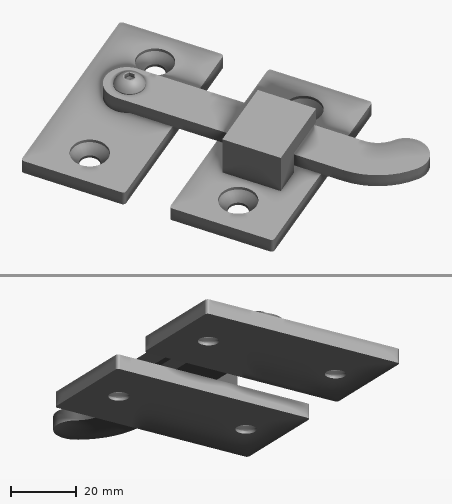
import cadquery as cq
import math

overall_length = 114.3
overall_height = 18.3

plate_width = 35.0
plate_length = 70.0
plate_thickness = 4.8
plate_corner_radius = 1.0
plate_gap = 15.0
mount_hole_spacing = 46.0
mount_hole_diameter = 6.5
countersink_diameter = 12.2
countersink_rim_depth = 1.0
countersink_cone_depth = (countersink_diameter - mount_hole_diameter) / 2

lever_width = 14.7
lever_thickness = 4.5
lever_clearance = 1.0
lever_center_y = 5.0
lever_pivot_end_x = 16.7
handle_bend_radius = 17.3
handle_bend_angle = 55.0

screw_x = plate_width / 2
screw_shank_diameter = 5.0
screw_head_diameter = 10.0
screw_head_rim_height = 0.3
screw_head_height = 3.1
screw_head_top_diameter = 4.0
socket_corner_diameter = 3.5
socket_depth = 1.5
socket_point_depth = 0.7

keeper_width = 19.7
keeper_back_y = 11.3
keeper_front_y = -13.6
keeper_leg_thickness = 9.4
keeper_roof_thickness = 5.5

lever_radius = lever_width / 2
lever_bottom = plate_thickness + lever_clearance
lever_top = lever_bottom + lever_thickness
keeper_plate_x = plate_width + plate_gap
keeper_center_x = keeper_plate_x + plate_width / 2


def cylinder(diameter, height, x, y, z):
    """Upright cylinder whose base is centred at (x, y, z)."""
    return cq.Workplane("XY", origin=(x, y, z)).circle(diameter / 2).extrude(height)


def make_plate(left_x):
    """Rounded-corner plate with two countersunk mounting holes."""
    center_x = left_x + plate_width / 2
    plate = (
        cq.Workplane("XY", origin=(center_x, 0, 0))
        .rect(plate_width, plate_length)
        .extrude(plate_thickness)
        .edges("|Z")
        .fillet(plate_corner_radius)
    )
    hole_radius = mount_hole_diameter / 2
    rim_radius = countersink_diameter / 2
    rim_bottom = plate_thickness - countersink_rim_depth
    hole_profile = [
        (0, 0),
        (hole_radius, 0),
        (hole_radius, rim_bottom - countersink_cone_depth),
        (rim_radius, rim_bottom),
        (rim_radius, plate_thickness),
        (0, plate_thickness),
    ]
    for hole_y in (-mount_hole_spacing / 2, mount_hole_spacing / 2):
        hole = (
            cq.Workplane("XZ", origin=(center_x, hole_y, 0))
            .polyline(hole_profile)
            .close()
            .revolve(360, (0, 0), (0, 1))
        )
        plate = plate.cut(hole)
    return plate


def make_lever():
    """Constant-width arm with a round pivot end, a bent handle and a boss under the pivot end."""
    bend_angle = math.radians(handle_bend_angle)
    bend_x = overall_length - lever_radius - handle_bend_radius * math.sin(bend_angle)
    bend_y = lever_center_y + handle_bend_radius

    def bend_point(radius, angle):
        return (bend_x + radius * math.sin(angle), bend_y - radius * math.cos(angle))

    outer_radius = handle_bend_radius + lever_radius
    inner_radius = handle_bend_radius - lever_radius
    tip_x, tip_y = bend_point(handle_bend_radius, bend_angle)
    tip_end = (
        tip_x + lever_radius * math.cos(bend_angle),
        tip_y + lever_radius * math.sin(bend_angle),
    )
    arm = (
        cq.Workplane("XY", origin=(0, 0, lever_bottom))
        .moveTo(lever_pivot_end_x, lever_center_y - lever_radius)
        .lineTo(*bend_point(outer_radius, 0))
        .threePointArc(bend_point(outer_radius, bend_angle / 2), bend_point(outer_radius, bend_angle))
        .threePointArc(tip_end, bend_point(inner_radius, bend_angle))
        .threePointArc(bend_point(inner_radius, bend_angle / 2), bend_point(inner_radius, 0))
        .lineTo(lever_pivot_end_x, lever_center_y + lever_radius)
        .threePointArc(
            (lever_pivot_end_x - lever_radius, lever_center_y),
            (lever_pivot_end_x, lever_center_y - lever_radius),
        )
        .close()
        .extrude(lever_thickness)
    )
    boss_height = lever_top - plate_thickness
    boss = cylinder(lever_width, boss_height, lever_pivot_end_x, lever_center_y, plate_thickness)
    return arm.union(boss).cut(screw_hole())


def screw_hole():
    """Bore for the screw shank through the pivot plate and the lever."""
    return cylinder(screw_shank_diameter, lever_top, screw_x, lever_center_y, 0)


def make_screw():
    """Button-head screw with a hexagonal socket, its shank flush with the plate bottom."""
    shank_radius = screw_shank_diameter / 2
    head_radius = screw_head_diameter / 2
    top_radius = screw_head_top_diameter / 2
    rim_top = lever_top + screw_head_rim_height
    head_top = lever_top + screw_head_height
    rim_distance_squared = rim_top**2 + head_radius**2
    top_distance_squared = head_top**2 + top_radius**2
    dome_center_z = (top_distance_squared - rim_distance_squared) / (2 * (head_top - rim_top))
    dome_radius = math.hypot(head_radius, rim_top - dome_center_z)
    dome_mid_radius = (head_radius + top_radius) / 2
    dome_mid_z = dome_center_z + math.sqrt(dome_radius**2 - dome_mid_radius**2)
    screw = (
        cq.Workplane("XZ", origin=(screw_x, lever_center_y, 0))
        .lineTo(shank_radius, 0)
        .lineTo(shank_radius, lever_top)
        .lineTo(head_radius, lever_top)
        .lineTo(head_radius, rim_top)
        .threePointArc((dome_mid_radius, dome_mid_z), (top_radius, head_top))
        .lineTo(0, head_top)
        .close()
        .revolve(360, (0, 0), (0, 1))
    )
    socket_floor = head_top - socket_depth
    socket = (
        cq.Workplane("XY", origin=(screw_x, lever_center_y, socket_floor))
        .polygon(6, socket_corner_diameter)
        .extrude(socket_depth)
    )
    socket_floor_radius = socket_corner_diameter / 2 * math.cos(math.pi / 6)
    socket_point = cq.Workplane(
        cq.Solid.makeCone(
            0,
            socket_floor_radius,
            socket_point_depth,
            pnt=cq.Vector(screw_x, lever_center_y, socket_floor - socket_point_depth),
        )
    )
    return screw.cut(socket).cut(socket_point)


def make_keeper():
    """L-shaped block standing on its plate, with its roof reaching over the lever."""
    leg_back_y = keeper_front_y + keeper_leg_thickness
    roof_bottom = overall_height - keeper_roof_thickness
    profile = [
        (keeper_front_y, plate_thickness),
        (leg_back_y, plate_thickness),
        (leg_back_y, roof_bottom),
        (keeper_back_y, roof_bottom),
        (keeper_back_y, overall_height),
        (keeper_front_y, overall_height),
    ]
    return (
        cq.Workplane("YZ", origin=(keeper_center_x - keeper_width / 2, 0, 0))
        .polyline(profile)
        .close()
        .extrude(keeper_width)
    )


pivot_plate = make_plate(0).cut(screw_hole())
keeper_plate = make_plate(keeper_plate_x)
lever = make_lever()
screw = make_screw()
keeper = make_keeper()

result = cq.Compound.makeCompound(
    [pivot_plate.val(), keeper_plate.val(), lever.val(), screw.val(), keeper.val()]
)